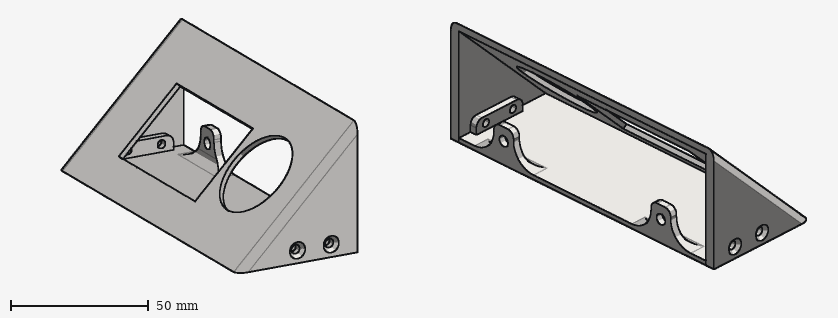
import cadquery as cq
import math

length = 134.0
depth = 50.0
height = depth
wall = 4.2
panel_run = 3.0
panel = panel_run / math.sqrt(2)
edge_radius = 3.0
inner_length = length - 2 * wall

display_width = 57.0
display_height = 34.0
display_x = -12.5
display_z = 22.8
dial_diameter = 33.6
dial_x = 36.0
dial_z = depth / 2

screw_diameter = 3.4
screw_head_diameter = 6.4
screw_head_depth = (screw_head_diameter - screw_diameter) / 2
screw_pitch = 14.0
front_screw_y = 25.0
screw_y = (front_screw_y, front_screw_y + screw_pitch)
screw_z = 5.0

base_thickness = 2.0
tab_thickness = 3.0
tab_margin = 5.0
tab_top = 8.0
tab_corner_radius = 3.0
tab_hole_diameter = 3.2

ear_x = 40.0
ear_width = 10.0
ear_thickness = 3.0
ear_top = 16.0
ear_corner_radius = 3.0
ear_side_flare = 10.0
ear_front_flare = 4.0
ear_hole_diameter = 4.4
ear_hole_z = 10.0


def wedge(span, inset):
    """Triangular prism centred on X, its slope set back by inset along Y."""
    profile = [(inset, 0), (depth, 0), (depth, height - inset)]
    return cq.Workplane("YZ").polyline(profile).close().extrude(span / 2, both=True)


def slope_plane(x, z):
    """Plane on the sloped face at the given X and Z, facing outwards."""
    return cq.Plane(origin=(x, z, z), xDir=(1, 0, 0), normal=(0, -1, 1))


def side_rods(diameter):
    """Rods along X through both sides, one on each screw axis."""
    points = [(y, screw_z) for y in screw_y]
    return cq.Workplane("YZ").pushPoints(points).circle(diameter / 2).extrude(length, both=True)


def make_shell():
    """Sloped front panel with two side walls, open at the back and underneath."""
    outer = wedge(length, 0)
    outer = outer.faces("<(0, 1, -1)").edges("<X or >X").fillet(edge_radius)
    shell = outer.cut(wedge(inner_length, panel_run))

    display = cq.Workplane(slope_plane(display_x, display_z)).rect(display_width, display_height)
    dial = cq.Workplane(slope_plane(dial_x, dial_z)).circle(dial_diameter / 2)
    shell = shell.cut(display.extrude(-2 * panel)).cut(dial.extrude(-2 * panel))

    shell = shell.cut(side_rods(screw_diameter))
    for side in (-1, 1):
        for y in screw_y:
            head = cq.Solid.makeCone(
                screw_head_diameter / 2,
                screw_diameter / 2,
                screw_head_depth,
                pnt=cq.Vector(side * length / 2, y, screw_z),
                dir=cq.Vector(-side, 0, 0),
            )
            shell = shell.cut(cq.Workplane(head))
    return shell


def make_tab(side):
    """Upright tab against a side wall, with rounded upper corners."""
    tab_front = screw_y[0] - tab_margin
    tab_back = screw_y[1] + tab_margin
    tab_x = (inner_length - tab_thickness) / 2
    tab = (
        cq.Workplane("XY")
        .box(tab_thickness, tab_back - tab_front, tab_top, centered=(True, False, False))
        .edges("|X and >Z")
        .fillet(tab_corner_radius)
    )
    return tab.translate((side * tab_x, tab_front, 0))


def make_ear(x):
    """Upright ear with concave flares at both sides and in front of its foot."""
    foot = ear_thickness + ear_front_flare
    foot_half_width = ear_width / 2 + ear_side_flare
    across = (
        cq.Workplane("XZ", origin=(x, depth, 0))
        .moveTo(-foot_half_width, 0)
        .lineTo(foot_half_width, 0)
        .lineTo(foot_half_width, base_thickness)
        .radiusArc((ear_width / 2, base_thickness + ear_side_flare), ear_side_flare)
        .lineTo(ear_width / 2, ear_top - ear_corner_radius)
        .radiusArc((ear_width / 2 - ear_corner_radius, ear_top), -ear_corner_radius)
        .lineTo(ear_corner_radius - ear_width / 2, ear_top)
        .radiusArc((-ear_width / 2, ear_top - ear_corner_radius), -ear_corner_radius)
        .lineTo(-ear_width / 2, base_thickness + ear_side_flare)
        .radiusArc((-foot_half_width, base_thickness), ear_side_flare)
        .close()
        .extrude(foot)
    )
    along = (
        cq.Workplane("YZ", origin=(x, 0, 0))
        .moveTo(depth, 0)
        .lineTo(depth, ear_top)
        .lineTo(depth - ear_thickness, ear_top)
        .lineTo(depth - ear_thickness, base_thickness + ear_front_flare)
        .radiusArc((depth - foot, base_thickness), ear_front_flare)
        .lineTo(depth - foot, 0)
        .close()
        .extrude(foot_half_width, both=True)
    )
    hole = (
        cq.Workplane("XZ", origin=(x, depth, ear_hole_z))
        .circle(ear_hole_diameter / 2)
        .extrude(foot)
    )
    return across.intersect(along).cut(hole)


def make_base():
    """Base plate that fills the shell's open underside, with its tabs and ears."""
    plate = cq.Workplane("XY").box(inner_length, depth, base_thickness, centered=(True, False, False))
    base = plate.intersect(wedge(inner_length, panel_run))
    for side in (-1, 1):
        base = base.union(make_tab(side)).union(make_ear(side * ear_x))
    return base.cut(side_rods(tab_hole_diameter))


shell = make_shell()
base = make_base()
result = cq.Compound.makeCompound([shell.val(), base.val()])